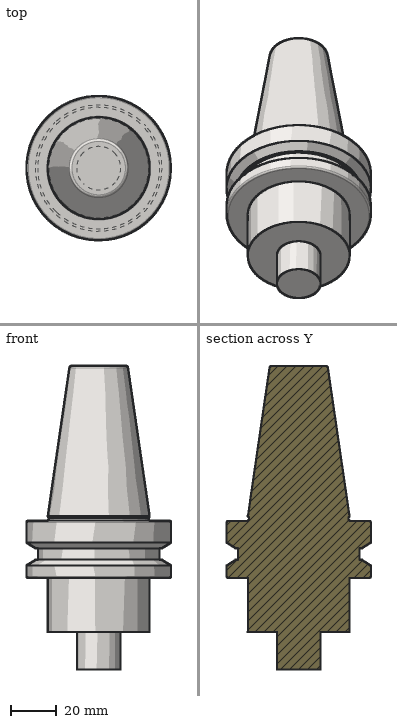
import cadquery as cq

total_height = 132.2

shank_radius = 19.0 / 2
shank_length = 16.3
body_radius = 44.4 / 2

flange_radius = 62.9 / 2
flange_bottom = 39.8
flange_thickness = 25.0
flange_top = flange_bottom + flange_thickness
flange_rounding = 0.8

groove_radius = 53.0 / 2
groove_middle = 50.2
groove_floor_width = 4.9
groove_mouth_width = 9.9
groove_side_radius = 27.5

gauge_height = 66.7
relief_radius = 21.7
relief_height = 1.0
relief_fillet = 0.9

gauge_radius = 44.4 / 2
taper_slope = 7 / 24 / 2
tip_rounding = 1.2
tip_radius = gauge_radius - taper_slope * (total_height - gauge_height)


def groove_points():
    """V-groove profile, from its lower edge to its upper edge."""
    half_mouth = groove_mouth_width / 2
    half_floor = groove_floor_width / 2
    return [
        (flange_radius, groove_middle - half_mouth),
        (groove_side_radius, groove_middle - half_floor),
        (groove_radius, groove_middle - half_floor),
        (groove_radius, groove_middle + half_floor),
        (groove_side_radius, groove_middle + half_floor),
        (flange_radius, groove_middle + half_mouth),
    ]


def edge_at(radius, height):
    """Selector for the circular edge of this radius at this height."""
    tolerance = 0.01
    reach = radius + tolerance
    inner_reach = radius - tolerance
    outer = cq.selectors.BoxSelector(
        (-reach, -reach, height - tolerance), (reach, reach, height + tolerance), boundingbox=True
    )
    inner = cq.selectors.BoxSelector(
        (-inner_reach, -inner_reach, height - tolerance),
        (inner_reach, inner_reach, height + tolerance),
        boundingbox=True,
    )
    return outer - inner


lower_points = [
    (0, 0),
    (shank_radius, 0),
    (shank_radius, shank_length),
    (body_radius, shank_length),
    (body_radius, flange_bottom),
    (flange_radius, flange_bottom),
]

upper_points = [
    (flange_radius, flange_top),
    (relief_radius, flange_top),
    (relief_radius, flange_top + relief_height),
    (gauge_radius, gauge_height),
    (tip_radius, total_height),
    (0, total_height),
]

profile = cq.Workplane("XZ").polyline(lower_points + groove_points() + upper_points).close()
holder = profile.revolve(360, (0, 0, 0), (0, 1, 0))

for rim_height in (flange_bottom, flange_top):
    holder = holder.edges(edge_at(flange_radius, rim_height)).fillet(flange_rounding)
holder = holder.edges(edge_at(relief_radius, flange_top)).fillet(relief_fillet)
result = holder.edges(edge_at(tip_radius, total_height)).fillet(tip_rounding)